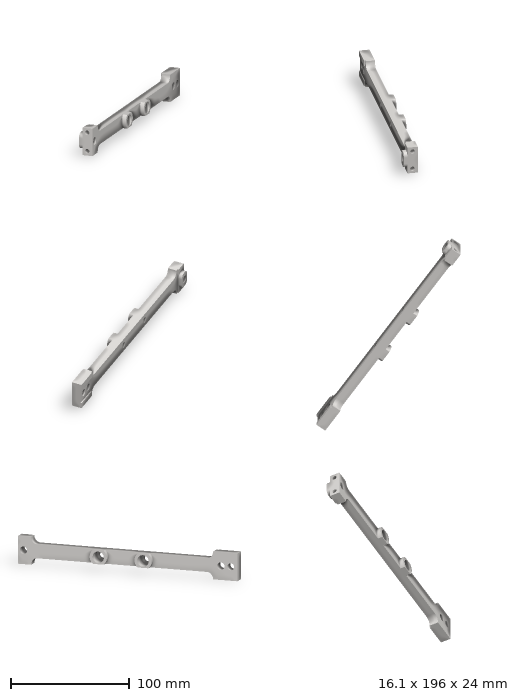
import cadquery as cq
import math

length = 196.0
bar_thickness = 8.0
bar_height = 12.0
head_height = 24.0
front_head_length = 12.0
rear_head_length = 22.0
neck_radius = 5.5

pad_thickness = 1.0
pad_height = 5.0
rear_pad_length = 20.0
front_pad_length = 10.0

front_boss_width = front_pad_length
front_boss_height = 14.0
front_boss_projection = 3.1
front_boss_corner_radius = 4.0

round_boss_diameter = 15.3
round_boss_projection = 4.0
round_boss_positions = (73.1, 113.0)
bar_hole_diameter = 5.0
counterbore_diameter = 10.0
counterbore_floor_x = 2.0

front_hole_position = front_pad_length / 2
front_hole_diameter = 6.5
rear_hole_distance = 6.0
rear_hole_diameter = 6.0
second_rear_hole_distance = 14.9
second_rear_hole_diameter = 6.5

end_hole_diameter = 4.0
end_hole_x = 3.3
end_hole_spacing = 16.0
end_hole_depth = 7.8
drill_point_angle = 118

bar_back = bar_thickness
pad_face = -pad_thickness
boss_face = pad_face - front_boss_projection


def block(x_min, x_max, y_min, y_max, z_min, z_max):
    """Box between the given limits."""
    return cq.Workplane("XY").box(
        x_max - x_min, y_max - y_min, z_max - z_min, centered=False
    ).translate((x_min, y_min, z_min))


def cylinder_x(diameter, y, x_min, x_max):
    """Cylinder along X on the middle plane of the bar."""
    return (
        cq.Workplane("YZ", origin=(x_min, y, 0))
        .circle(diameter / 2)
        .extrude(x_max - x_min)
    )


def bar_with_heads():
    """Constant-thickness profile with concave necks beside both heads."""
    half_bar = bar_height / 2
    half_head = head_height / 2
    front_neck = front_head_length
    rear_neck = length - rear_head_length
    neck_top = half_bar + neck_radius
    upper_half = (
        cq.Workplane("YZ")
        .lineTo(0, half_head)
        .lineTo(front_neck, half_head)
        .lineTo(front_neck, neck_top)
        .radiusArc((front_neck + neck_radius, half_bar), -neck_radius)
        .lineTo(rear_neck - neck_radius, half_bar)
        .radiusArc((rear_neck, neck_top), -neck_radius)
        .lineTo(rear_neck, half_head)
        .lineTo(length, half_head)
        .lineTo(length, 0)
        .close()
        .extrude(bar_thickness)
    )
    return upper_half.union(upper_half.mirror("XY")).clean()


def head_pads():
    """Full-height front pad and two rear pads separated by a channel."""
    half_head = head_height / 2
    rear_start = length - rear_pad_length
    front = block(pad_face, 0, 0, front_pad_length, -half_head, half_head)
    upper = block(pad_face, 0, rear_start, length, half_head - pad_height, half_head)
    return front.union(upper).union(upper.mirror("XY"))


def front_boss():
    return (
        block(
            boss_face, pad_face,
            front_hole_position - front_boss_width / 2,
            front_hole_position + front_boss_width / 2,
            -front_boss_height / 2, front_boss_height / 2,
        )
        .edges("|X")
        .fillet(front_boss_corner_radius)
    )


def round_boss(y):
    """Cylinder trimmed flush with the top and bottom of the bar."""
    outer_face = bar_back + round_boss_projection
    radius = round_boss_diameter / 2
    trim = block(bar_back, outer_face, y - radius, y + radius, -bar_height / 2, bar_height / 2)
    return cylinder_x(round_boss_diameter, y, bar_back, outer_face).intersect(trim)


def cross_hole(diameter, y):
    return cylinder_x(diameter, y, boss_face, bar_back + round_boss_projection)


def counterbored_hole(y):
    """Through hole widened from the outer face of a round boss into the bar."""
    outer_face = bar_back + round_boss_projection
    counterbore = cylinder_x(counterbore_diameter, y, counterbore_floor_x, outer_face)
    return cross_hole(bar_hole_diameter, y).union(counterbore)


def drill_end_holes(body):
    """Two cone-bottomed holes along Y; the cone lies beyond the straight depth."""
    point_length = end_hole_diameter / 2 / math.tan(math.radians(drill_point_angle / 2))
    for z in (-end_hole_spacing / 2, end_hole_spacing / 2):
        drill = (
            cq.Workplane("XY")
            .lineTo(end_hole_diameter / 2, 0)
            .lineTo(end_hole_diameter / 2, end_hole_depth)
            .lineTo(0, end_hole_depth + point_length)
            .close()
            .revolve(360, (0, 0, 0), (0, 1, 0))
        )
        body = body.cut(drill.translate((end_hole_x, 0, z)))
    return body


result = bar_with_heads().union(head_pads()).union(front_boss())
for boss_y in round_boss_positions:
    result = result.union(round_boss(boss_y))
    result = result.cut(counterbored_hole(boss_y))
result = result.cut(cross_hole(front_hole_diameter, front_hole_position))
result = result.cut(cross_hole(rear_hole_diameter, length - rear_hole_distance))
result = result.cut(cross_hole(second_rear_hole_diameter, length - second_rear_hole_distance))
result = drill_end_holes(result)